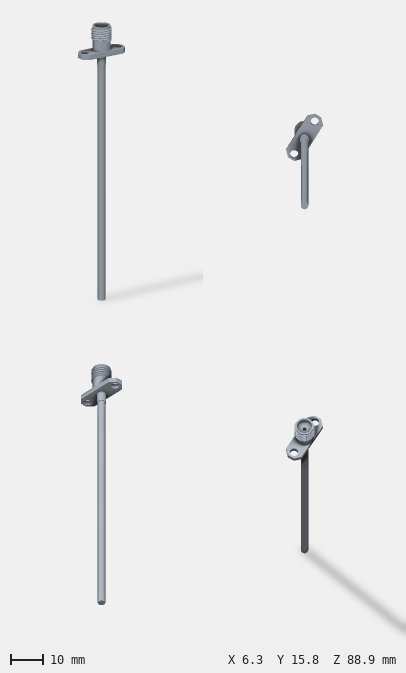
import cadquery as cq

total_height = 88.9
ferrule_length = 3.2
flange_thickness = 1.6
barrel_height = 7.9
flange_top = total_height - barrel_height
flange_bottom = flange_top - flange_thickness
ferrule_bottom = flange_bottom - ferrule_length

flange_width = 5.6
flange_length = 15.8
corner_chamfer = 1.7
mounting_hole_diameter = 2.6
mounting_hole_spacing = 12.2

barrel_diameter = 5.6
socket_diameter = 4.6
socket_depth = 2.1
contact_hole_diameter = 1.2
contact_hole_depth = 2.0
socket_floor = total_height - socket_depth
ferrule_diameter = 2.85

thread_diameter = 6.3
thread_pitch = 0.7
thread_turns = 5.5
thread_root_width = 0.5
thread_crest_width = 0.2
thread_root_sink = 0.1
thread_top_margin = 0.7

cable_diameter = 2.3


def cylinder(diameter, bottom, top):
    """Upright cylinder on the Z axis between two heights."""
    return cq.Workplane("XY", origin=(0, 0, bottom)).circle(diameter / 2).extrude(top - bottom)


def make_flange():
    """Plate with chamfered corners and a mounting hole at each end."""
    return (
        cq.Workplane("XY", origin=(0, 0, flange_bottom))
        .rect(flange_width, flange_length)
        .extrude(flange_thickness)
        .edges("|Z")
        .chamfer(corner_chamfer)
        .faces(">Z")
        .workplane()
        .pushPoints([(0, -mounting_hole_spacing / 2), (0, mounting_hole_spacing / 2)])
        .hole(mounting_hole_diameter)
    )


def make_thread():
    """Helical ridge whose root is sunk slightly into the barrel."""
    root_radius = barrel_diameter / 2 - thread_root_sink
    crest_radius = thread_diameter / 2
    thread_length = thread_pitch * thread_turns
    thread_bottom = total_height - thread_top_margin - thread_length
    helix = cq.Wire.makeHelix(thread_pitch, thread_length, root_radius)
    ridge = (
        cq.Workplane("XZ")
        .polyline([
            (root_radius, -thread_root_width / 2),
            (crest_radius, -thread_crest_width / 2),
            (crest_radius, thread_crest_width / 2),
            (root_radius, thread_root_width / 2),
        ])
        .close()
        .sweep(cq.Workplane(helix), isFrenet=True)
    )
    return ridge.translate((0, 0, thread_bottom))


def make_connector():
    """Threaded barrel, flange and ferrule, with the socket and the cable bore cut out."""
    socket = cylinder(socket_diameter, socket_floor, total_height)
    contact_hole = cylinder(contact_hole_diameter, socket_floor - contact_hole_depth, socket_floor)
    cable_bore = cylinder(cable_diameter, ferrule_bottom, flange_bottom)
    return (
        cylinder(barrel_diameter, flange_top, total_height)
        .union(make_thread())
        .union(make_flange())
        .union(cylinder(ferrule_diameter, ferrule_bottom, flange_bottom))
        .cut(socket)
        .cut(contact_hole)
        .cut(cable_bore)
    )


def make_cable():
    """Plain round cable seated in the ferrule."""
    return cylinder(cable_diameter, 0, flange_bottom)


connector = make_connector()
cable = make_cable()

result = cq.Compound.makeCompound([*connector.vals(), cable.val()])